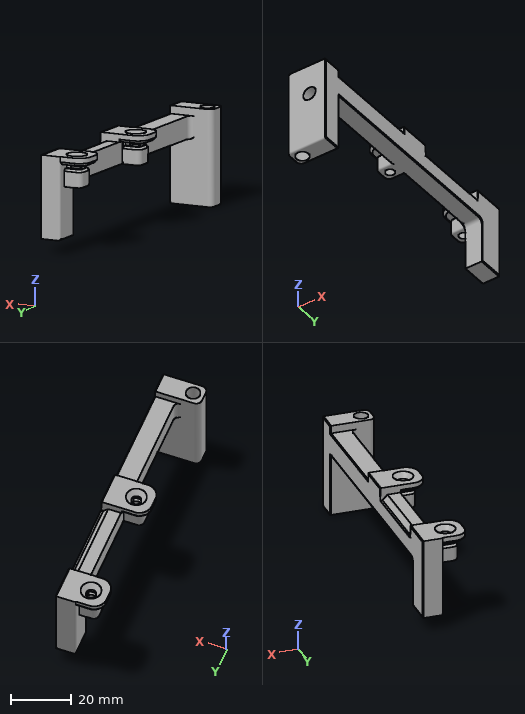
import cadquery as cq
width = 16.5
length = 99.75
height = 33.5

edge_radius = 0.8
back_chamfer = 0.3
overlap = 1.5

bar_left = 9.1
bar_bottom = 22.6
pad_thickness = 2.8
bar_top = height - pad_thickness
rear_leg_length = 10.1
rear_leg_bottom = 4.9
rear_leg_front = length - rear_leg_length
leg_corner_radius = 1.8

front_leg_left = 0.3
front_leg_length = 7.8
front_leg_corner_radius = 2.1
bar_corner_radius = 1.7
upright_hole_diameter = 4.9
upright_hole_x = 4.2
front_hole_diameter = 5.1
front_hole_x = 9.9
front_hole_z = 21.5
front_hole_depth = 5.0

tab_centers = (51.3, 93.3)
tab_length = 12.3
tab_corner_radius = 4.4
tab_chamfer = 1.0
screw_x = 6.2
screw_hole_diameter = 3.4
countersink_diameter = 7.0
countersink_depth = (countersink_diameter - screw_hole_diameter) / 2
boss_right = bar_left + overlap
boss_length = 7.2
boss_left = screw_x - boss_length / 2
boss_top = 28.9
boss_corner_radius = 2.0
boss_chamfer = 0.8
web_left = 7.7
web_length = 3.2

side_recess_depth = 0.25
bevel_start = 13.9
bevel_drop = 1.8


def box(x_range, y_range, z_range):
    """Axis-aligned box given as (low, high) ranges."""
    size = [high - low for low, high in (x_range, y_range, z_range)]
    corner = (x_range[0], y_range[0], z_range[0])
    return cq.Workplane("XY").box(*size, centered=False).translate(corner)


def span(center, size):
    """Low and high limits of a size centred on a position."""
    return (center - size / 2, center + size / 2)


def make_frame():
    """Bar, rear leg and the raised pads above the bar, drawn as one side profile."""
    mid_front, mid_back = span(tab_centers[0], tab_length)
    rear_front = span(tab_centers[1], tab_length)[0]
    bar_start = front_leg_length - overlap
    frame = (
        cq.Workplane("YZ", origin=(bar_left, 0, 0))
        .moveTo(bar_start, bar_bottom)
        .lineTo(rear_leg_front - leg_corner_radius, bar_bottom)
        .radiusArc((rear_leg_front, bar_bottom - leg_corner_radius), leg_corner_radius)
        .lineTo(rear_leg_front, rear_leg_bottom)
        .lineTo(length, rear_leg_bottom)
        .lineTo(length, height)
        .lineTo(rear_front, height)
        .lineTo(rear_front, bar_top)
        .lineTo(mid_back, bar_top)
        .lineTo(mid_back, height)
        .lineTo(mid_front, height)
        .lineTo(mid_front, bar_top)
        .lineTo(bar_start, bar_top)
        .close()
        .extrude(width - bar_left)
    )
    frame = frame.faces(">X").edges().chamfer(back_chamfer)
    below_top = cq.selectors.BoxSelector(
        (bar_left - edge_radius, front_leg_length, 0),
        (bar_left + edge_radius, length + edge_radius, bar_top - edge_radius),
    )
    return frame.edges(below_top).fillet(edge_radius)


def make_front_leg():
    """Upright at the front, rounded on its left side and at its foot."""
    leg = box((front_leg_left, width), (0, front_leg_length), (0, height))
    leg = leg.edges("<X and |Z").fillet(front_leg_corner_radius)
    leg = leg.faces("<Z").edges("not >X").fillet(edge_radius)
    return leg.faces(">X").edges().chamfer(back_chamfer)


def make_bar_corner():
    """Concave fillet between the front leg and the bar, rounded below like the bar."""
    arc_back = front_leg_length + bar_corner_radius
    corner_right = bar_left + overlap
    corner_front = front_leg_length - overlap
    corner = (
        cq.Workplane("XY", origin=(0, 0, bar_bottom))
        .moveTo(bar_left - bar_corner_radius, front_leg_length)
        .radiusArc((bar_left, arc_back), -bar_corner_radius)
        .lineTo(corner_right, arc_back)
        .lineTo(corner_right, corner_front)
        .lineTo(bar_left - bar_corner_radius, corner_front)
        .close()
        .extrude(bar_top - bar_bottom)
    )
    return corner.edges("%CIRCLE and <Z").fillet(edge_radius)


def make_tab(center):
    """Rounded screw tab, its free underside edge bevelled where it overhangs the bar."""
    tab = box((0, width - back_chamfer), span(center, tab_length), (bar_top, height))
    tab = tab.edges("<X and |Z").fillet(tab_corner_radius)
    return tab.faces("<Z").edges("not >X").chamfer(tab_chamfer)


def make_boss(center):
    """Rounded boss beside the bar, joined to the tab above by a narrow web."""
    boss = box((boss_left, boss_right), span(center, boss_length), (bar_bottom, boss_top))
    boss = boss.edges("<X and |Z").fillet(boss_corner_radius)
    boss = boss.faces(">Z").edges("not >X").chamfer(boss_chamfer)
    boss = boss.faces("<Z").edges("not >X").fillet(edge_radius)
    web = box((web_left, boss_right), span(center, web_length), (boss_top, bar_top))
    return boss.union(web)


def make_screw_hole(center):
    """Through hole with a right-angled countersink in the top of the tab."""
    return (
        cq.Workplane("XY", origin=(screw_x, center, height))
        .circle(screw_hole_diameter / 2)
        .extrude(-height)
        .union(
            cq.Workplane("XY", origin=(screw_x, center, height))
            .circle(countersink_diameter / 2)
            .workplane(offset=-countersink_depth)
            .circle(screw_hole_diameter / 2)
            .loft()
        )
    )


def make_rear_bar_recesses():
    """Shallow recess in the left side of the rear bar, and a bevelled ledge along its top."""
    mid_boss_back = span(tab_centers[0], boss_length)[1]
    mid_pad_back = span(tab_centers[0], tab_length)[1]
    rear_pad_front = span(tab_centers[1], tab_length)[0]
    recess_floor = bar_left + side_recess_depth
    round_top = bar_bottom + edge_radius
    leg_corner_start = rear_leg_front - leg_corner_radius
    side = box((bar_left, recess_floor), (mid_boss_back, rear_leg_front), (round_top, bar_top))
    lower_edge = (
        cq.Workplane("XZ", origin=(0, leg_corner_start, 0))
        .moveTo(bar_left, round_top)
        .lineTo(recess_floor, round_top)
        .radiusArc((recess_floor + edge_radius, bar_bottom), -edge_radius)
        .lineTo(bar_left, bar_bottom)
        .close()
        .extrude(leg_corner_start - mid_boss_back)
    )
    ledge = (
        cq.Workplane("XZ", origin=(0, rear_pad_front, 0))
        .moveTo(bevel_start, bar_top)
        .lineTo(bevel_start + bevel_drop, bar_top - bevel_drop)
        .lineTo(width, bar_top - bevel_drop)
        .lineTo(width, bar_top)
        .close()
        .extrude(rear_pad_front - mid_pad_back)
    )
    return side.union(lower_edge).union(ledge)


result = make_frame().cut(make_rear_bar_recesses())
result = result.union(make_front_leg()).union(make_bar_corner())

for center in tab_centers:
    result = result.union(make_tab(center)).union(make_boss(center))
    result = result.cut(make_screw_hole(center))

upright_hole = (
    cq.Workplane("XY", origin=(upright_hole_x, front_leg_length / 2, 0))
    .circle(upright_hole_diameter / 2)
    .extrude(height)
)
front_hole = (
    cq.Workplane("XZ", origin=(front_hole_x, 0, front_hole_z))
    .circle(front_hole_diameter / 2)
    .extrude(-front_hole_depth)
)
result = result.cut(upright_hole).cut(front_hole)